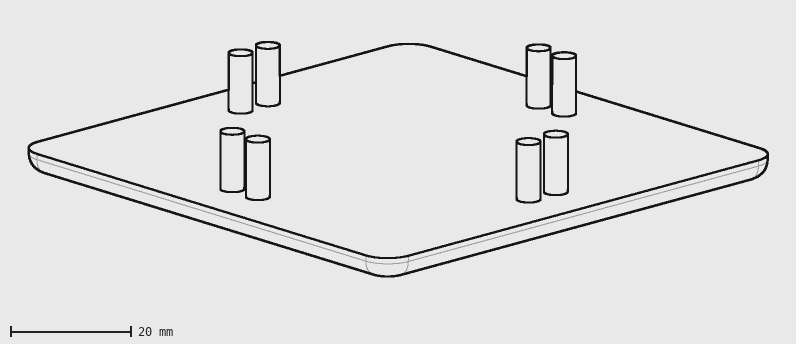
import cadquery as cq

plate_side = 90.0
plate_thickness = 4.0
corner_radius = 5.0
bottom_edge_radius = 3.0

pin_diameter = 4.0
pin_height = 10.0
pin_pair_spacing = 6.2
pin_edge_distance = 10.0
side_count = 4


def make_plate():
    """Square plate with rounded corners and a rounded bottom edge."""
    plate = cq.Workplane("XY").box(
        plate_side, plate_side, plate_thickness, centered=(True, True, False)
    )
    plate = plate.edges("|Z").fillet(corner_radius)
    return plate.faces("<Z").edges().fillet(bottom_edge_radius)


def make_pin_pair():
    """Two upright pins beside the +X side, rooted on the plate's top face."""
    pin_x = plate_side / 2 - pin_edge_distance
    pin_y = pin_pair_spacing / 2
    return (
        cq.Workplane("XY", origin=(0, 0, plate_thickness))
        .pushPoints([(pin_x, -pin_y), (pin_x, pin_y)])
        .circle(pin_diameter / 2)
        .extrude(pin_height)
    )


result = make_plate()
for side in range(side_count):
    turn = side * 360.0 / side_count
    result = result.union(make_pin_pair().rotate((0, 0, 0), (0, 0, 1), turn))